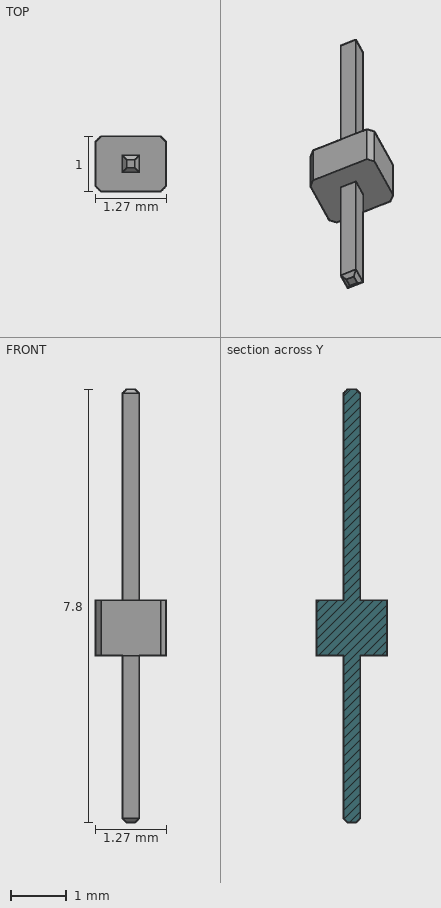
import cadquery as cq

body_length = 1.27
body_width = 1.0
body_height = 1.0
corner_chamfer = 0.1

total_height = 7.8
tail_length = 3.0
pin_side = 0.305
tip_chamfer = 0.08


def make_body():
    block = cq.Workplane("XY").box(body_length, body_width, body_height)
    return block.edges("|Z").chamfer(corner_chamfer)


def make_pin():
    pin_bottom = -body_height / 2 - tail_length
    bar = (
        cq.Workplane("XY")
        .workplane(offset=pin_bottom)
        .rect(pin_side, pin_side)
        .extrude(total_height)
    )
    return bar.faces("<Z or >Z").chamfer(tip_chamfer)


result = make_body().union(make_pin())